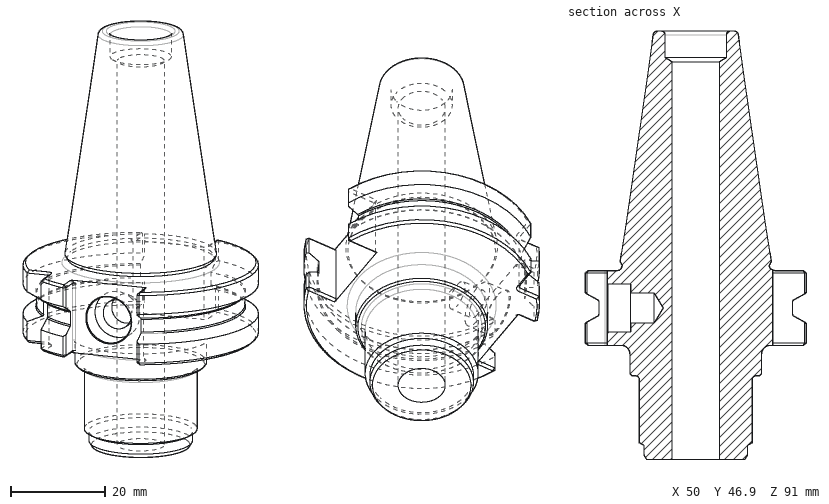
import cadquery as cq
import math

total_height = 90.95
flange_bottom = 24.2
flange_top = 40.1
flange_middle = (flange_bottom + flange_top) / 2

taper_ratio = 7 / 24
taper_top_dia = 17.9
taper_base = 42.0
taper_rim_fillet = 0.9
taper_base_radius = taper_top_dia / 2 + (total_height - taper_base) * taper_ratio / 2
neck_radius = 15.6
neck_top = 41.2
neck_fillet = neck_top - flange_top

flange_radius = 25.0
flange_chamfer = 0.55
groove_radius = 22.1
groove_floor_width = 3.2
groove_flank_angle = 30
groove_fillet = 0.4
groove_outer_width = (
    groove_floor_width
    + 2 * (flange_radius - groove_radius) * math.tan(math.radians(groove_flank_angle))
)

collar_radius = 28.0 / 2
collar_bottom = 17.7
collar_chamfer = 0.5
collar_fillet = 1.8
shank_radius = 24.0 / 2
shank_fillet = 0.8
shank_bottom = 3.55
tip_radius = 22.0 / 2
tip_top = 3.0
tip_chamfer_radial = 0.55
tip_chamfer_height = 0.9

bore_dia = 10.0
socket_dia = 13.0
socket_depth = 5.6
socket_rim_fillet = 0.8
drill_half_angle = 59

slot_width = 16.1
front_slot_floor = 18.8
back_slot_floor = 16.4
slot_corner_radius = 0.5
edge_chamfer = 0.55
edge_chamfer_angle = 45
slot_mouth_half_width = 8.6
slot_mouth_bevel_angle = 35

cutter_reach = 31.8

notch_offset = 14.9
notch_corner_radius = 0.55

hole_dia = 10.1
hole_mouth_dia = 10.5
hole_depth = 5.0
pilot_dia = 6.4
pilot_depth = 10.0

arc_inset = 1 - math.sqrt(0.5)


def make_body():
    """Revolve the taper, flange and nose."""
    top_radius = taper_top_dia / 2
    half_floor = groove_floor_width / 2
    half_outer = groove_outer_width / 2
    profile = (
        cq.Workplane("XZ")
        .moveTo(0, 0)
        .lineTo(tip_radius - tip_chamfer_radial, 0)
        .lineTo(tip_radius, tip_chamfer_height)
        .lineTo(tip_radius, tip_top)
        .lineTo(shank_radius, shank_bottom)
        .lineTo(shank_radius, collar_bottom - shank_fillet)
        .threePointArc(
            (shank_radius + shank_fillet * arc_inset, collar_bottom - shank_fillet * arc_inset),
            (shank_radius + shank_fillet, collar_bottom),
        )
        .lineTo(collar_radius - collar_chamfer, collar_bottom)
        .lineTo(collar_radius, collar_bottom + collar_chamfer)
        .lineTo(collar_radius, flange_bottom - collar_fillet)
        .threePointArc(
            (collar_radius + collar_fillet * arc_inset, flange_bottom - collar_fillet * arc_inset),
            (collar_radius + collar_fillet, flange_bottom),
        )
        .lineTo(flange_radius - flange_chamfer, flange_bottom)
        .lineTo(flange_radius, flange_bottom + flange_chamfer)
        .lineTo(flange_radius, flange_middle - half_outer)
        .lineTo(groove_radius, flange_middle - half_floor)
        .lineTo(groove_radius, flange_middle + half_floor)
        .lineTo(flange_radius, flange_middle + half_outer)
        .lineTo(flange_radius, flange_top - flange_chamfer)
        .lineTo(flange_radius - flange_chamfer, flange_top)
        .lineTo(neck_radius + neck_fillet, flange_top)
        .threePointArc(
            (neck_radius + neck_fillet * arc_inset, flange_top + neck_fillet * arc_inset),
            (neck_radius, neck_top),
        )
        .lineTo(taper_base_radius, taper_base)
        .lineTo(top_radius, total_height)
        .lineTo(0, total_height)
        .close()
    )
    body = profile.revolve(360, (0, 0), (0, 1))
    groove_corners = body.edges("%CIRCLE").filter(
        lambda edge: math.isclose(edge.radius(), groove_radius)
    )
    body = groove_corners.fillet(groove_fillet)
    return body.faces(">Z").edges().fillet(taper_rim_fillet)


def make_bore():
    """Through bore with a drilled, round-rimmed socket at the small end of the taper."""
    bore_radius = bore_dia / 2
    socket_radius = socket_dia / 2
    cone_height = (socket_radius - bore_radius) / math.tan(math.radians(drill_half_angle))
    socket_floor = total_height - socket_depth
    return (
        cq.Workplane("XZ")
        .moveTo(0, 0)
        .lineTo(bore_radius, 0)
        .lineTo(bore_radius, socket_floor - cone_height)
        .lineTo(socket_radius, socket_floor)
        .lineTo(socket_radius, total_height - socket_rim_fillet)
        .threePointArc(
            (socket_radius + socket_rim_fillet * arc_inset, total_height - socket_rim_fillet * arc_inset),
            (socket_radius + socket_rim_fillet, total_height),
        )
        .lineTo(0, total_height)
        .close()
        .revolve(360, (0, 0), (0, 1))
    )


def bevelled_cutter(outline):
    """Turn a plan outline into a cutter as tall as the flange, flared at both ends."""
    straight = outline.extrude(flange_top - flange_bottom).translate((0, 0, flange_bottom))
    flare = outline.extrude(edge_chamfer, taper=-edge_chamfer_angle)
    top_flare = flare.translate((0, 0, flange_top - edge_chamfer))
    bottom_flare = top_flare.mirror("XY", (0, 0, flange_middle))
    return straight.union(top_flare).union(bottom_flare)


def slot_outline(floor, corner_radius):
    """Plan outline of a driving slot opening toward -Y, with bevelled mouth edges."""
    half_width = slot_width / 2
    mouth_y = math.sqrt(flange_radius**2 - slot_mouth_half_width**2)
    bevel_slope = math.tan(math.radians(slot_mouth_bevel_angle))
    bevel_start_y = mouth_y - (slot_mouth_half_width - half_width) * bevel_slope
    outer_half_width = half_width + (cutter_reach - bevel_start_y) / bevel_slope
    outline = cq.Sketch().polygon(
        [
            (-half_width, -floor),
            (half_width, -floor),
            (half_width, -bevel_start_y),
            (outer_half_width, -cutter_reach),
            (-outer_half_width, -cutter_reach),
            (-half_width, -bevel_start_y),
            (-half_width, -floor),
        ]
    )
    if corner_radius > 0:
        outline = outline.vertices(">Y").fillet(corner_radius)
    return cq.Workplane("XY").placeSketch(outline)


def make_slot(floor, corner_radius):
    """Driving slot opening toward -Y; its floor stays flat, so only the walls are bevelled."""
    cutter = bevelled_cutter(slot_outline(floor, corner_radius))
    beyond_floor = (
        cq.Workplane("XY")
        .box(2 * cutter_reach, cutter_reach, total_height, centered=(True, False, False))
        .translate((0, -floor - cutter_reach, 0))
    )
    return cutter.intersect(beyond_floor)


def make_notch():
    """Orientation notch in the -X, -Y quarter of the flange."""
    side = cutter_reach - notch_offset
    centre = -notch_offset - side / 2
    outline = cq.Sketch().push([(centre, centre)]).rect(side, side).reset()
    outline = outline.vertices(">X and >Y").fillet(notch_corner_radius)
    return bevelled_cutter(cq.Workplane("XY").placeSketch(outline))


def make_radial_hole():
    """Stepped blind hole with a drill point, sunk into the floor of the front slot."""
    hole_radius = hole_dia / 2
    mouth_radius = hole_mouth_dia / 2
    pilot_radius = pilot_dia / 2
    point_depth = pilot_depth + pilot_radius / math.tan(math.radians(drill_half_angle))
    return (
        cq.Workplane("XY", origin=(0, -front_slot_floor, flange_middle))
        .lineTo(mouth_radius, 0)
        .lineTo(hole_radius, mouth_radius - hole_radius)
        .lineTo(hole_radius, hole_depth)
        .lineTo(pilot_radius, hole_depth)
        .lineTo(pilot_radius, pilot_depth)
        .lineTo(0, point_depth)
        .close()
        .revolve(360, (0, 0), (0, 1))
    )


front_slot = make_slot(front_slot_floor, slot_corner_radius)
back_slot = make_slot(back_slot_floor, 0).mirror("XZ")

result = (
    make_body()
    .cut(make_bore())
    .cut(front_slot)
    .cut(back_slot)
    .cut(make_notch())
    .cut(make_radial_hole())
)